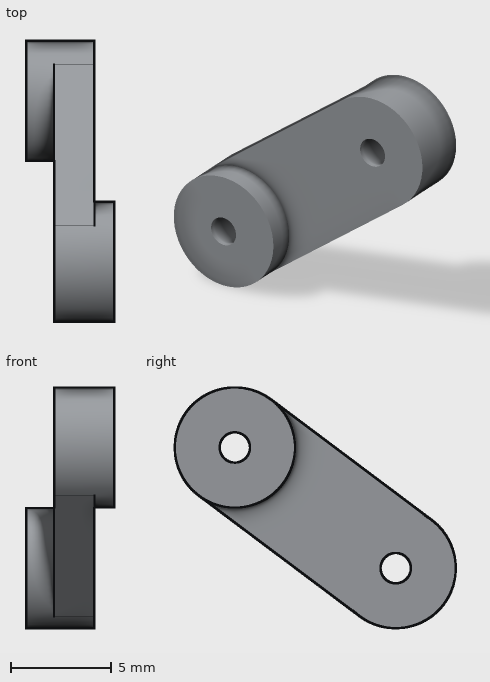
import cadquery as cq
import math

length_y = 14.0
rise_z = 6.0
end_diameter = 5.99
hole_diameter = 1.5
arm_thickness = 2.0
low_boss_height = 1.4
high_boss_height = 1.0

spacing_y = length_y - end_diameter
pivot_distance = math.hypot(spacing_y, rise_z)
across_arm = (0, rise_z, spacing_y)
low_pivot = pivot_distance / 2
high_pivot = -pivot_distance / 2


def arm_plane(x_position):
    """Plane facing +X: local x runs across the arm, local y from the low pivot to the high one."""
    return cq.Workplane(cq.Plane(origin=(x_position, 0, 0), xDir=across_arm, normal=(1, 0, 0)))


def cylinder(pivot, diameter, x_start, height):
    """Cylinder about a pivot axis, running from x_start toward +X."""
    return arm_plane(x_start).center(0, -pivot).circle(diameter / 2).extrude(height)


web = arm_plane(0).rect(end_diameter, pivot_distance).extrude(arm_thickness)

low_end = cylinder(low_pivot, end_diameter, -low_boss_height, low_boss_height + arm_thickness)
high_end = cylinder(high_pivot, end_diameter, 0, arm_thickness + high_boss_height)
result = web.union(low_end).union(high_end)

total_thickness = low_boss_height + arm_thickness + high_boss_height
for pivot in (low_pivot, high_pivot):
    result = result.cut(cylinder(pivot, hole_diameter, -low_boss_height, total_thickness))